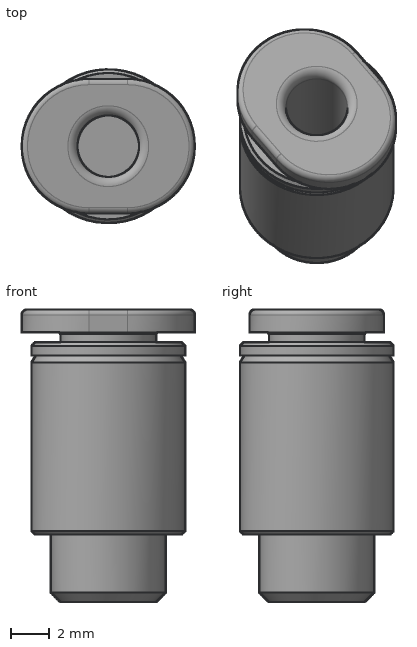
import cadquery as cq

total_height = 15.2

stem_radius = 3.0
stem_chamfer = 0.5

body_radius = 4.0
body_bottom = 3.5
body_top = 13.5
body_chamfer = 0.2
groove_bottom = 12.45
groove_top = 12.8
groove_depth = 0.23

neck_radius = 2.5
neck_flare = 0.05
neck_flare_height = 0.09

cap_length = 9.0
cap_width = 6.99
cap_height = 1.2
cap_bottom = total_height - cap_height
cap_fillet = 0.3

bore_radius = 1.6
bore_mouth_fillet = 0.5
bore_floor = body_bottom


def make_turned_body():
    """Revolve the stem, body, groove and neck about the Z axis."""
    profile = [
        (0, 0),
        (stem_radius - stem_chamfer, 0),
        (stem_radius, stem_chamfer),
        (stem_radius, body_bottom),
        (body_radius - body_chamfer, body_bottom),
        (body_radius, body_bottom + body_chamfer),
        (body_radius, groove_bottom),
        (body_radius - groove_depth, groove_top),
        (body_radius, groove_top),
        (body_radius, body_top - body_chamfer),
        (body_radius - body_chamfer, body_top),
        (neck_radius, body_top),
        (neck_radius, cap_bottom - neck_flare_height),
        (neck_radius + neck_flare, cap_bottom),
        (0, cap_bottom),
    ]
    return cq.Workplane("XZ").polyline(profile).close().revolve(360, (0, 0, 0), (0, 1, 0))


def make_cap():
    """Make the cap plate with its upper outer edge rounded."""
    plate = cq.Workplane("XY").workplane(offset=cap_bottom).slot2D(cap_length, cap_width).extrude(cap_height)
    return plate.faces(">Z").edges().fillet(cap_fillet)


def make_bore():
    """Make the tool for the bore, flared by a quarter round at the mouth."""
    mouth_start = total_height - bore_mouth_fillet
    mouth_radius = bore_radius + bore_mouth_fillet
    return (
        cq.Workplane("XZ")
        .moveTo(0, bore_floor)
        .lineTo(bore_radius, bore_floor)
        .lineTo(bore_radius, mouth_start)
        .radiusArc((mouth_radius, total_height), bore_mouth_fillet)
        .lineTo(0, total_height)
        .close()
        .revolve(360, (0, 0, 0), (0, 1, 0))
    )


result = make_turned_body().union(make_cap()).cut(make_bore())